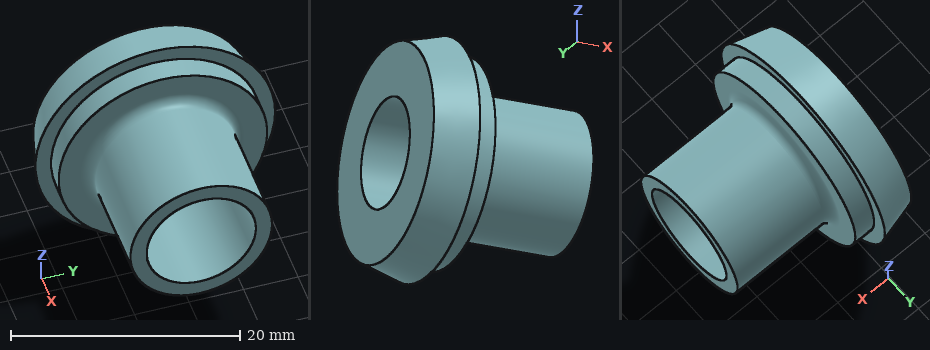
import cadquery as cq
import math

total_length = 17.0
head_diameter = 22.0
head_length = 3.95
head_taper_angle = 15.0
collar_diameter = 19.12
collar_length = 2.15
tube_diameter = 13.0
bore_diameter = 10.0
root_fillet_radius = 1.0

head_radius = head_diameter / 2
collar_radius = collar_diameter / 2
tube_radius = tube_diameter / 2
bore_radius = bore_diameter / 2
front_radius = head_radius - head_length * math.tan(math.radians(head_taper_angle))
collar_end = head_length + collar_length

arc_offset = root_fillet_radius * (1 - math.sqrt(0.5))
arc_midpoint = (collar_end + arc_offset, tube_radius + arc_offset)

half_section = (
    cq.Workplane("XY")
    .moveTo(0, bore_radius)
    .lineTo(0, front_radius)
    .lineTo(head_length, head_radius)
    .lineTo(head_length, collar_radius)
    .lineTo(collar_end, collar_radius)
    .lineTo(collar_end, tube_radius + root_fillet_radius)
    .threePointArc(arc_midpoint, (collar_end + root_fillet_radius, tube_radius))
    .lineTo(total_length, tube_radius)
    .lineTo(total_length, bore_radius)
    .close()
)

result = half_section.revolve(360, (0, 0, 0), (1, 0, 0))